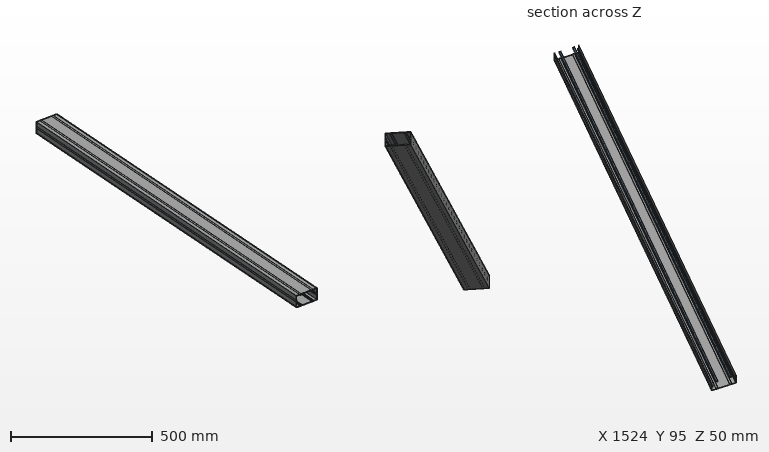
import cadquery as cq

length = 1524.0
width = 95.0
height = 50.0
wall = 3.0
corner_radius = 5.0

rib_width = 8.0
rib_height = 2.3
broad_rib_offset = 26.0


def bar(size_y, size_z):
    """Full-length rectangular bar centred on the X axis."""
    return cq.Workplane("XY").box(length, size_y, size_z)


cavity_width = width - 2 * wall
cavity_height = height - 2 * wall

cavity = bar(cavity_width, cavity_height)
for side in (-1, 1):
    roof_rib = bar(rib_width, rib_height).translate(
        (0, side * broad_rib_offset, (cavity_height - rib_height) / 2)
    )
    wall_rib = bar(rib_height, rib_width).translate((0, side * (cavity_width - rib_height) / 2, 0))
    cavity = cavity.cut(roof_rib).cut(roof_rib.mirror("XY")).cut(wall_rib)

result = bar(width, height).edges("|X").fillet(corner_radius).cut(cavity)